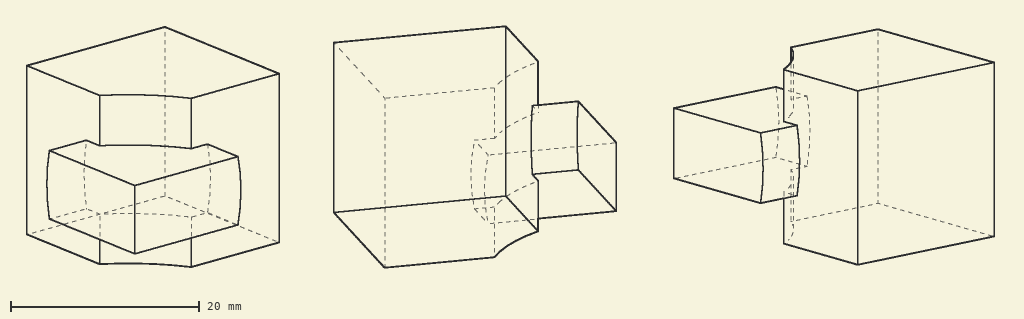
import cadquery as cq
import math

overall = 24.13
cube_side = 19.05
arm_height = 7.7
arm_length = 14.62
end_bulge = 0.4
relief_leg = 6.9
relief_bulge = 0.6

arm_width = overall - cube_side
arm_bottom = (cube_side - arm_height) / 2
arm_top = arm_bottom + arm_height
middle = cube_side / 2
straight_length = arm_length - end_bulge


def corner_prism(bottom, height):
    """Prism at the (+X, -Y) cube edge, bounded by both cube faces and the relief arc."""
    arc_offset = relief_leg / 2 + relief_bulge / math.sqrt(2)
    return (
        cq.Workplane("XY", origin=(cube_side, arm_width, bottom))
        .lineTo(0, relief_leg)
        .threePointArc((-arc_offset, arc_offset), (-relief_leg, 0))
        .close()
        .extrude(height)
    )


def bulged_arm():
    """Bar along +Y from the origin corner whose free end bulges outward."""
    return (
        cq.Workplane("YZ")
        .moveTo(0, arm_bottom)
        .lineTo(straight_length, arm_bottom)
        .threePointArc((arm_length, middle), (straight_length, arm_top))
        .lineTo(0, arm_top)
        .close()
        .extrude(arm_width)
    )


cube = cq.Workplane("XY").box(cube_side, cube_side, cube_side, centered=False).translate((0, arm_width, 0))
cube = cube.cut(corner_prism(0, cube_side))

side_arm = bulged_arm().translate((cube_side, 0, 0))
front_arm = bulged_arm().rotate((0, 0, 0), (0, 0, 1), 90).translate((overall, 0, 0))

corner_fill = corner_prism(arm_bottom, arm_height)

result = cube.union(corner_fill).union(side_arm).union(front_arm)